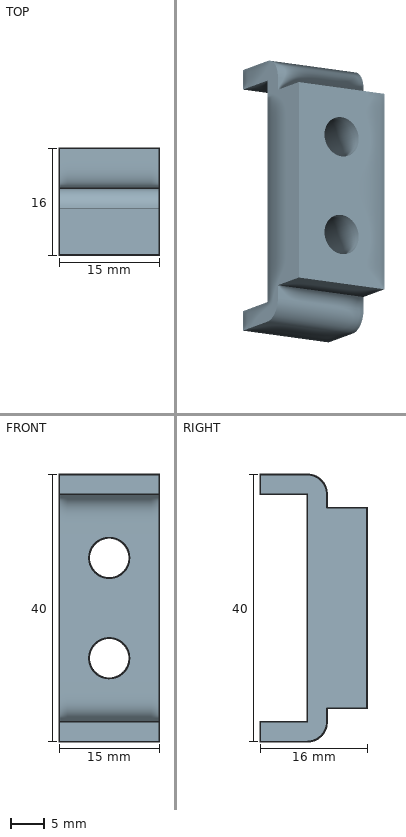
import cadquery as cq

width = 15.0
height = 40.0
depth = 16.0

wall = 3.0
bend_radius = 3.0
block_depth = 6.0
block_height = 30.0

hole_diameter = 6.0
hole_spacing = 15.0

web_back = depth - block_depth
web_front = web_back - wall


def centered_box(y_start, y_end, box_height):
    """Full-width box between two Y positions, centered on X and Z."""
    return (
        cq.Workplane("XY")
        .box(width, y_end - y_start, box_height, centered=(True, False, True))
        .translate((0, y_start, 0))
    )


bracket = centered_box(0, web_back, height)
bracket = bracket.faces(">Y").edges("|X").fillet(bend_radius)
bracket = bracket.cut(centered_box(0, web_front, height - 2 * wall))

block = centered_box(web_back, depth, block_height)

holes = (
    cq.Workplane("XZ")
    .rarray(0.4, hole_spacing, 1, 2)
    .circle(hole_diameter / 2)
    .extrude(-depth)
)

result = bracket.union(block).cut(holes)